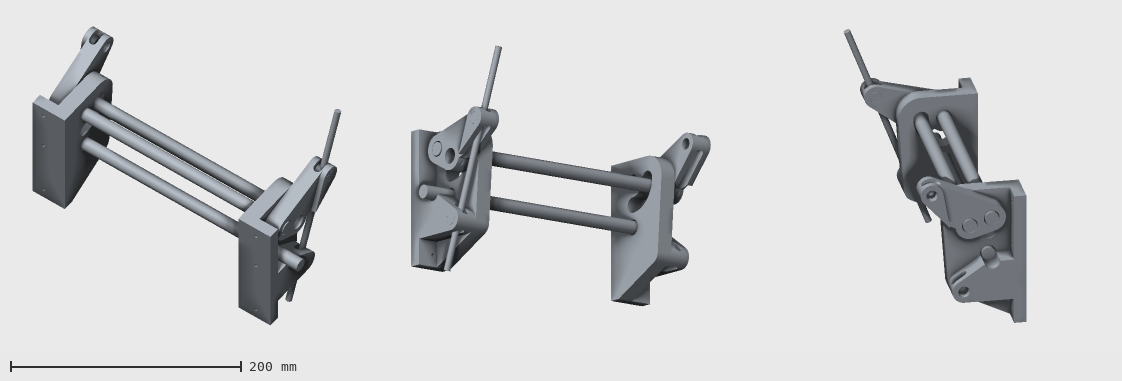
import cadquery as cq
import math


BRACKET_SPAN = 256.0
BRACKET_HEIGHT = 120.0
EAR_DEPTH = 19.8
WALL_THICKNESS = 14.7
BRACKET_WIDTH = EAR_DEPTH + WALL_THICKNESS
BASE_THICKNESS = 10.7
PIVOT_Y = 30.0
PIVOT_Z = 100.0
TIE_Z = 60.0
EAR_Y = 55.0
EAR_Z = 33.0
EAR_RADIUS = 10.2
EAR_SHOULDER_Y = 33.2
MOUNT_HOLE_DIAMETER = 3.2
MOUNT_HOLE_HEIGHTS = (10.2, 70.0, 110.0)
LEFT_MOUNT_OFFSET = 11.5
RIGHT_MOUNT_OFFSET = 15.5

ROD_DIAMETER = 12.0
ROD_HOLE_DIAMETER = 14.0
ROD_LENGTH = 250.0
TIE_ROD_START = 16.4
PIVOT_ROD_START = 1.5
CARRIED_ROD_START = 2.5

LEVER_LENGTH = 60.0
CARRY_RADIUS = 20.0
CARRY_ANGLE = -44.1
LEVER_BODY_THICKNESS = 15.0
LEVER_PAD_THICKNESS = 4.8
LEVER_THICKNESS = LEVER_BODY_THICKNESS + LEVER_PAD_THICKNESS
LEVER_HUB_RADIUS = 12.5
LEVER_END_RADIUS = 10.0
PAD_TIP = (31.4, -21.2)
LEFT_LEVER_ANGLE = 27.0
RIGHT_LEVER_ANGLE = 16.6
LEFT_LEVER_OUTER_X = -1.5

PIN_DIAMETER = 10.0
PIN_HOLE_DIAMETER = 10.2
LINK_DIAMETER = 6.0
LINK_LENGTH = 200.0
LINK_TAIL = 45.0
LINK_INSET = 8.8
SLOT_WIDTH = 8.0
SLOT_INSET = 10.0
SLOT_REACH = 80.5
LEVER_SLOT_ANGLES = (-9.0, 53.0)
EAR_SLOT_ANGLES = (0.0, 45.0)


def polar(centre, radius, degrees):
    """Point at a radius and an angle around a centre."""
    angle = math.radians(degrees)
    return (centre[0] + radius * math.cos(angle), centre[1] + radius * math.sin(angle))


def left_tangent(start, start_radius, end, end_radius):
    """Touch points of the outer tangent on the left of two circles, looking from start to end."""
    heading = math.degrees(math.atan2(end[1] - start[1], end[0] - start[0]))
    lean = math.degrees(math.acos((start_radius - end_radius) / math.dist(start, end)))
    return (polar(start, start_radius, heading + lean), polar(end, end_radius, heading + lean))


def arc_middle(centre, start, end):
    """Middle of the arc that runs clockwise around a centre from start to end."""
    start_angle = math.degrees(math.atan2(start[1] - centre[1], start[0] - centre[0]))
    end_angle = math.degrees(math.atan2(end[1] - centre[1], end[0] - centre[0]))
    sweep = (start_angle - end_angle) % 360
    return polar(centre, math.dist(centre, start), start_angle - sweep / 2)


def cylinder_x(centre, diameter, start_x, end_x):
    """Cylinder along X around a (Y, Z) centre."""
    plane = cq.Workplane("YZ", origin=(start_x, 0, 0))
    return plane.center(*centre).circle(diameter / 2).extrude(end_x - start_x)


def fan_slot(centre, angles, middle_x):
    """Space swept by a round bar that swings about a pin; angles run from vertical toward +Y."""
    half = SLOT_WIDTH / 2
    plane = cq.Workplane("YZ", origin=(middle_x - half, 0, 0))
    slot = cq.Workplane("YZ")
    for reach in (SLOT_REACH, -SLOT_REACH):
        corners = [polar(centre, reach, 90 - angle) for angle in angles]
        slot = slot.add(plane.polyline([centre, *corners]).close().extrude(SLOT_WIDTH))
    for angle in angles:
        tilt = math.radians(angle)
        along = cq.Vector(0, math.sin(tilt), math.cos(tilt))
        foot = cq.Vector(middle_x, *centre) - along * SLOT_REACH
        slot = slot.add(cq.Solid.makeCylinder(half, 2 * SLOT_REACH, foot, along))
    return slot.combine()


def to_right_side(body):
    """Mirror a body built with its outer face at X = 0 onto the right end of the span."""
    return body.mirror("YZ").translate((BRACKET_SPAN, 0, 0))


PIVOT = (PIVOT_Y, PIVOT_Z)
TIE = (PIVOT_Y, TIE_Z)
EAR = (EAR_Y, EAR_Z)
CARRIED = polar(PIVOT, CARRY_RADIUS, LEFT_LEVER_ANGLE + CARRY_ANGLE)
RIGHT_LEVER_END = polar(PIVOT, LEVER_LENGTH, RIGHT_LEVER_ANGLE)
LEVER_END = (LEVER_LENGTH, 0)
LEVER_CARRY = polar((0, 0), CARRY_RADIUS, CARRY_ANGLE)


def bracket_wall():
    """Inner plate with a round upper corner centred level with the pivot."""
    corner_radius = BRACKET_HEIGHT - PIVOT_Z
    corner = (PIVOT_Y + CARRY_RADIUS, PIVOT_Z)
    corner_top = (corner[0], BRACKET_HEIGHT)
    corner_low, ear_high = left_tangent(corner, corner_radius, EAR, EAR_RADIUS)
    ear_low, base_corner = left_tangent(EAR, EAR_RADIUS, (BASE_THICKNESS, 0), 0)
    return (
        cq.Workplane("YZ", origin=(EAR_DEPTH, 0, 0))
        .moveTo(0, 0)
        .lineTo(0, BRACKET_HEIGHT)
        .lineTo(*corner_top)
        .threePointArc(arc_middle(corner, corner_top, corner_low), corner_low)
        .lineTo(*ear_high)
        .threePointArc(arc_middle(EAR, ear_high, ear_low), ear_low)
        .lineTo(*base_corner)
        .close()
        .extrude(WALL_THICKNESS)
    )


def bracket_ear():
    """Outer block that holds the lower pin, with a sloping top and a level underside."""
    shoulder, slope_low = left_tangent((EAR_SHOULDER_Y, TIE_Z), 0, EAR, EAR_RADIUS)
    underside_end = (EAR_Y, EAR_Z - EAR_RADIUS)
    return (
        cq.Workplane("YZ")
        .moveTo(0, TIE_Z)
        .lineTo(*shoulder)
        .lineTo(*slope_low)
        .threePointArc(arc_middle(EAR, slope_low, underside_end), underside_end)
        .lineTo(0, underside_end[1])
        .close()
        .extrude(EAR_DEPTH)
    )


def swing_slot():
    """Quarter-turn slot for the carried rod, from level with the pivot to straight below it."""
    half = ROD_HOLE_DIAMETER / 2
    outer = CARRY_RADIUS + half
    inner = CARRY_RADIUS - half
    return (
        cq.Workplane("YZ", origin=(EAR_DEPTH, 0, 0))
        .moveTo(*polar(PIVOT, outer, -90))
        .threePointArc(polar(PIVOT, outer, -45), polar(PIVOT, outer, 0))
        .threePointArc((PIVOT_Y + CARRY_RADIUS, PIVOT_Z + half), polar(PIVOT, inner, 0))
        .threePointArc(polar(PIVOT, inner, -45), polar(PIVOT, inner, -90))
        .threePointArc((PIVOT_Y - half, PIVOT_Z - CARRY_RADIUS), polar(PIVOT, outer, -90))
        .close()
        .extrude(WALL_THICKNESS)
    )


def make_bracket(mount_offset):
    """Bracket with its outer face at X = 0."""
    base = cq.Workplane("XY").box(BRACKET_WIDTH, BASE_THICKNESS, BRACKET_HEIGHT, centered=False)
    body = base.union(bracket_wall()).union(bracket_ear())
    for centre in (PIVOT, TIE):
        body = body.cut(cylinder_x(centre, ROD_HOLE_DIAMETER, 0, BRACKET_WIDTH))
    body = body.cut(swing_slot())
    body = body.cut(cylinder_x(EAR, PIN_HOLE_DIAMETER, 0, EAR_DEPTH))
    body = body.cut(fan_slot(EAR, EAR_SLOT_ANGLES, SLOT_INSET))
    mount_holes = (
        cq.Workplane("XZ")
        .pushPoints([(mount_offset, height) for height in MOUNT_HOLE_HEIGHTS])
        .circle(MOUNT_HOLE_DIAMETER / 2)
        .extrude(-BASE_THICKNESS)
    )
    return body.cut(mount_holes)


def lever_body():
    """Main outline around the pivot hub, the carried rod and the pin end, in lever axes."""
    hub = (0, 0)
    hub_top, end_top = left_tangent(hub, LEVER_HUB_RADIUS, LEVER_END, LEVER_END_RADIUS)
    end_low, tip = left_tangent(LEVER_END, LEVER_END_RADIUS, PAD_TIP, 0)
    carry_low, hub_low = left_tangent(LEVER_CARRY, LEVER_HUB_RADIUS, hub, LEVER_HUB_RADIUS)
    tip_drop = LEVER_CARRY[1] - PAD_TIP[1]
    neck = (LEVER_CARRY[0] + math.sqrt(LEVER_HUB_RADIUS**2 - tip_drop**2), PAD_TIP[1])
    return (
        cq.Workplane("YZ", origin=(LEVER_PAD_THICKNESS, 0, 0))
        .moveTo(*hub_top)
        .lineTo(*end_top)
        .threePointArc(arc_middle(LEVER_END, end_top, end_low), end_low)
        .lineTo(*tip)
        .lineTo(*neck)
        .threePointArc(arc_middle(LEVER_CARRY, neck, carry_low), carry_low)
        .lineTo(*hub_low)
        .threePointArc(arc_middle(hub, hub_low, hub_top), hub_top)
        .close()
        .extrude(LEVER_BODY_THICKNESS)
    )


def lever_pad():
    """Drop-shaped pad that thickens the pin end and runs to a point at the lower edge."""
    tip, end_high = left_tangent(PAD_TIP, 0, LEVER_END, LEVER_END_RADIUS)
    end_low = left_tangent(LEVER_END, LEVER_END_RADIUS, PAD_TIP, 0)[0]
    return (
        cq.Workplane("YZ")
        .moveTo(*tip)
        .lineTo(*end_high)
        .threePointArc(arc_middle(LEVER_END, end_high, end_low), end_low)
        .close()
        .extrude(LEVER_PAD_THICKNESS)
    )


def make_lever(angle):
    """Lever with its outer face at X = 0, turned up from +Y by an angle and set on the pivot."""
    body = lever_body().union(lever_pad())
    for centre in ((0, 0), LEVER_CARRY):
        body = body.cut(cylinder_x(centre, ROD_HOLE_DIAMETER, 0, LEVER_THICKNESS))
    body = body.cut(cylinder_x(LEVER_END, PIN_HOLE_DIAMETER, 0, LEVER_THICKNESS))
    body = body.cut(fan_slot(LEVER_END, LEVER_SLOT_ANGLES, SLOT_INSET))
    return body.rotate((0, 0, 0), (1, 0, 0), angle).translate((0, *PIVOT))


def link_cylinder():
    """Inclined link rod through the centres of the ear pin and the right lever's pin."""
    link_x = BRACKET_SPAN - LINK_INSET
    ear_centre = cq.Vector(link_x, *EAR)
    along = (cq.Vector(link_x, *RIGHT_LEVER_END) - ear_centre).normalized()
    tail = ear_centre - along * LINK_TAIL
    return cq.Workplane(obj=cq.Solid.makeCylinder(LINK_DIAMETER / 2, LINK_LENGTH, tail, along))


def make_pin(centre, depth):
    """Cross pin in from the right outer face, with a hole for the link rod."""
    pin = cylinder_x(centre, PIN_DIAMETER, BRACKET_SPAN - depth, BRACKET_SPAN)
    return pin.cut(link_cylinder())


left_bracket = make_bracket(LEFT_MOUNT_OFFSET)
right_bracket = to_right_side(make_bracket(RIGHT_MOUNT_OFFSET))

left_lever = make_lever(LEFT_LEVER_ANGLE).translate((LEFT_LEVER_OUTER_X, 0, 0))
right_lever = to_right_side(make_lever(RIGHT_LEVER_ANGLE))

pivot_rod = cylinder_x(PIVOT, ROD_DIAMETER, PIVOT_ROD_START, PIVOT_ROD_START + ROD_LENGTH)
tie_rod = cylinder_x(TIE, ROD_DIAMETER, TIE_ROD_START, TIE_ROD_START + ROD_LENGTH)
carried_rod = cylinder_x(CARRIED, ROD_DIAMETER, CARRIED_ROD_START, BRACKET_SPAN - LEVER_THICKNESS)

link_rod = link_cylinder()
lever_pin = make_pin(RIGHT_LEVER_END, LEVER_THICKNESS)
ear_pin = make_pin(EAR, EAR_DEPTH)

result = cq.Compound.makeCompound(
    [
        left_bracket.val(),
        right_bracket.val(),
        left_lever.val(),
        right_lever.val(),
        pivot_rod.val(),
        tie_rod.val(),
        carried_rod.val(),
        link_rod.val(),
        lever_pin.val(),
        ear_pin.val(),
    ]
)